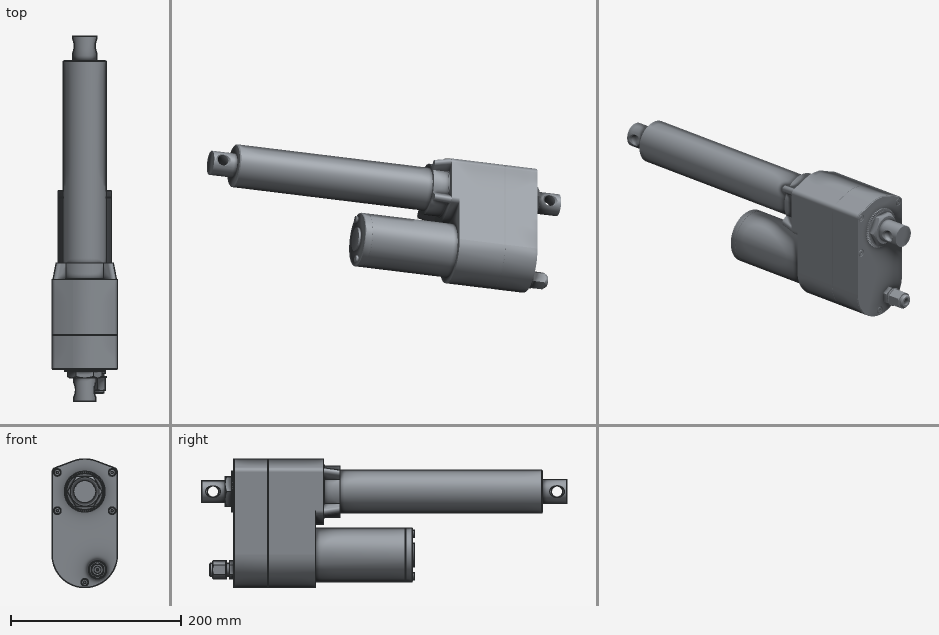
import cadquery as cq
import math


HOUSING_WIDTH = 77.16
HOUSING_HEIGHT = 151.66
END_RADIUS = HOUSING_WIDTH / 2
MOTOR_Z = 2 * END_RADIUS - HOUSING_HEIGHT
SHOULDER_ANGLE = 20.6
SHOULDER_RADIUS = 6.0
EDGE_MARGIN = 0.5
LOWER_DEPTH = 96.5
UPPER_DEPTH = 105.8
COVER_THICKNESS = 1.3
COVER_INSET = 0.4
JOINT_Y = 40.5
JOINT_WIDTH = 1.3
JOINT_DEPTH = 0.25

SCREW_X = 32.2
SCREW_Z = 22.5
SCREW_BOTTOM_OFFSET = 32.2
SCREW_RECESS_DIA = 9.0
SCREW_HEAD_DIA = 7.2
SCREW_SOCKET_DIA = 2.7
SCREW_RECESS_DEPTH = 1.0

TUBE_DIA = 50.8
TUBE_END_Y = 363.5
TUBE_CHAMFER = 1.3
ADAPTER_RADIUS = 30.2
ADAPTER_END_Y = 125.4
ADAPTER_RIM = 1.0
ADAPTER_RIM_THICKNESS = 1.2
LUG_ANGLE = 35.6
LUG_RADIUS = 4.0
LUG_BASE_REACH = 41.2
LUG_TIP_REACH = 36.5

MOTOR_DIA = 63.5
MOTOR_END_Y = 210.5
MOTOR_CHAMFER = 0.8
MOTOR_GROOVE_DIA = 63.0
MOTOR_GROOVE_Y = 202.2
MOTOR_GROOVE_WIDTH = 1.3
MOTOR_STUD_DIA = 8.5
MOTOR_STUD_OFFSET = 25.0
MOTOR_HUB_DIA = 28.0
MOTOR_STUD_HEIGHT = 2.6

WASHER_DIA = 48.2
WASHER_THICKNESS = 2.6
WASHER_TEETH = 60
WASHER_NOTCH_WIDTH = 1.0
WASHER_NOTCH_DEPTH = 3.0
NUT_FLATS = 35.4
NUT_FACE_DIA = 34.0
NUT_BEVEL_ANGLE = 30.0
NUT_END_Y = -10.3
REAR_CLEVIS_DIA = 26.0
REAR_CLEVIS_END_Y = -37.5
REAR_PIN_INSET = 13.4

PIN_HOLE_DIA = 13.0
PIN_MOUTH_GROWTH = 2.2

ROD_DIA = 28.6
ROD_END_Y = 392.0
ROD_PIN_INSET = 11.5

GLAND_X = 15.0
GLAND_Z = -92.0
GLAND_CORNERS = 21.6
GLAND_TURN = 90
GLAND_NECK_DIA = 15.75
GLAND_BASE_END_Y = -5.0
GLAND_NUT_START_Y = -8.2
GLAND_COLLAR = 1.2
GLAND_NUT_END_Y = -24.6
GLAND_CHAMFER = 1.2
GLAND_TIP_END_Y = -28.4
GLAND_TIP_DIA = 13.0
GLAND_BORE_DIA = 8.5
GLAND_BORE_DEPTH = 6.0
GLAND_CORE_DIA = 2.7
GLAND_CORE_DEPTH = 10.0


def section(y, x=0.0, z=0.0):
    """Sketch plane at depth y that extrudes toward +Y; its local y points along -Z."""
    return cq.Workplane("XZ", origin=(x, y, z)).transformed(rotate=(180, 0, 0))


def cylinder(diameter, y_start, y_end, x=0.0, z=0.0):
    return section(y_start, x, z).circle(diameter / 2).extrude(y_end - y_start)


def hexagon(corners, y_start, y_end, turn=0, x=0.0, z=0.0):
    prism = section(y_start, x, z).polygon(6, corners).extrude(y_end - y_start)
    return prism.rotate((x, 0, z), (x, 1, z), turn)


def shoulder_points():
    """Right half of the crown: end of the crown arc and the sharp shoulder corner."""
    angle = math.radians(SHOULDER_ANGLE)
    arc_end = (END_RADIUS * math.sin(angle), END_RADIUS * math.cos(angle))
    corner = (END_RADIUS, arc_end[1] - (END_RADIUS - arc_end[0]) * math.tan(angle))
    return arc_end, corner


def round_shoulders(prism, z_sign):
    """Round the two long shoulder edges on the side of the tube axis given by z_sign."""
    corner_z = shoulder_points()[1][1] * z_sign
    box = cq.selectors.BoxSelector(
        (-2 * END_RADIUS, -UPPER_DEPTH, corner_z - EDGE_MARGIN),
        (2 * END_RADIUS, 2 * UPPER_DEPTH, corner_z + EDGE_MARGIN),
    )
    return prism.edges("|Y").edges(box).fillet(SHOULDER_RADIUS)


def crown(y):
    """Open profile at depth y over the top of the housing, from the left shoulder to the right one."""
    (arc_x, arc_z), (corner_x, corner_z) = shoulder_points()
    return (
        cq.Workplane("XZ", origin=(0, y, 0))
        .moveTo(-corner_x, corner_z)
        .lineTo(-arc_x, arc_z)
        .threePointArc((0, END_RADIUS), (arc_x, arc_z))
        .lineTo(corner_x, corner_z)
    )


def make_lower_block(y_start, y_end):
    """Length of the main housing, which is crowned around the tube and round below the motor."""
    block = (
        crown(y_start)
        .lineTo(END_RADIUS, MOTOR_Z)
        .threePointArc((0, MOTOR_Z - END_RADIUS), (-END_RADIUS, MOTOR_Z))
        .close()
        .extrude(y_start - y_end)
    )
    return round_shoulders(block, 1)


def make_upper_block():
    """Front step around the tube, crowned alike at the top and bottom."""
    (arc_x, arc_z), (corner_x, corner_z) = shoulder_points()
    block = (
        crown(LOWER_DEPTH)
        .lineTo(corner_x, -corner_z)
        .lineTo(arc_x, -arc_z)
        .threePointArc((0, -END_RADIUS), (-arc_x, -arc_z))
        .lineTo(-corner_x, -corner_z)
        .close()
        .extrude(LOWER_DEPTH - UPPER_DEPTH)
    )
    return round_shoulders(round_shoulders(block, 1), -1)


def make_band(y_start, thickness, depth):
    """Shallow band around the housing, to remove from its sides."""
    band = make_lower_block(y_start, y_start + thickness)
    core_outline = band.faces("<Y").wires().val().offset2D(-depth)[0]
    core = cq.Solid.extrudeLinear(core_outline, [], cq.Vector(0, thickness, 0))
    return band.cut(cq.Workplane(core))


def make_gearbox():
    housing = make_lower_block(0, LOWER_DEPTH).union(make_upper_block())
    cover_step = make_band(0, COVER_THICKNESS, COVER_INSET)
    joint_groove = make_band(JOINT_Y - JOINT_WIDTH / 2, JOINT_WIDTH, JOINT_DEPTH)
    return housing.cut(cover_step).cut(joint_groove)


def cut_screws(body):
    """Socket-head screws sunk flush in the rear face."""
    places = [(sx * SCREW_X, sz * SCREW_Z) for sx in (-1, 1) for sz in (-1, 1)]
    places.append((0, MOTOR_Z - SCREW_BOTTOM_OFFSET))
    for x, z in places:
        recess = cylinder(SCREW_RECESS_DIA, 0, SCREW_RECESS_DEPTH, x, z)
        head = cylinder(SCREW_HEAD_DIA, 0, SCREW_RECESS_DEPTH, x, z)
        socket = cylinder(SCREW_SOCKET_DIA, 0, SCREW_RECESS_DEPTH, x, z)
        body = body.cut(recess.cut(head)).cut(socket)
    return body


def make_lug(angle):
    """Radial rib with a rounded end that leans toward the tube as it leaves the gearbox."""
    def slot(y, reach):
        return (
            cq.Workplane("XZ", origin=(0, y, 0))
            .moveTo(0, -LUG_RADIUS)
            .lineTo(reach, -LUG_RADIUS)
            .threePointArc((reach + LUG_RADIUS, 0), (reach, LUG_RADIUS))
            .lineTo(0, LUG_RADIUS)
            .close()
            .wires()
            .val()
        )

    lug = cq.Solid.makeLoft([slot(UPPER_DEPTH, LUG_BASE_REACH), slot(ADAPTER_END_Y, LUG_TIP_REACH)], True)
    return cq.Workplane(lug).rotate((0, 0, 0), (0, 1, 0), angle)


def make_tube():
    tube = cylinder(TUBE_DIA, UPPER_DEPTH, TUBE_END_Y).faces(">Y").edges().chamfer(TUBE_CHAMFER)
    tube = tube.union(cylinder(2 * ADAPTER_RADIUS, UPPER_DEPTH, ADAPTER_END_Y))
    rim_end = UPPER_DEPTH + ADAPTER_RIM_THICKNESS
    tube = tube.union(cylinder(2 * (ADAPTER_RADIUS + ADAPTER_RIM), UPPER_DEPTH, rim_end))
    for angle in (LUG_ANGLE, 180 - LUG_ANGLE, 180 + LUG_ANGLE, -LUG_ANGLE):
        tube = tube.union(make_lug(angle))
    return tube


def make_motor():
    motor = cylinder(MOTOR_DIA, LOWER_DEPTH, MOTOR_END_Y, z=MOTOR_Z)
    motor = motor.faces(">Y").edges().chamfer(MOTOR_CHAMFER)
    groove_start = MOTOR_GROOVE_Y - MOTOR_GROOVE_WIDTH / 2
    groove_end = MOTOR_GROOVE_Y + MOTOR_GROOVE_WIDTH / 2
    groove = cylinder(MOTOR_DIA, groove_start, groove_end, z=MOTOR_Z)
    groove = groove.cut(cylinder(MOTOR_GROOVE_DIA, groove_start, groove_end, z=MOTOR_Z))
    motor = motor.cut(groove)
    stud_end = MOTOR_END_Y + MOTOR_STUD_HEIGHT
    for side in (-1, 1):
        stud_z = MOTOR_Z + side * MOTOR_STUD_OFFSET
        motor = motor.union(cylinder(MOTOR_STUD_DIA, MOTOR_END_Y, stud_end, z=stud_z))
    return motor.union(cylinder(MOTOR_HUB_DIA, MOTOR_END_Y, stud_end, z=MOTOR_Z))


def make_pin_hole(shaft_dia, y):
    """Cross hole along X with a 45 degree mouth at each side of the shaft."""
    hole_radius = PIN_HOLE_DIA / 2
    surface = shaft_dia / 2
    mouth_start = surface - PIN_MOUTH_GROWTH
    profile = (
        cq.Workplane("XY")
        .moveTo(-surface, 0)
        .lineTo(-surface, hole_radius + PIN_MOUTH_GROWTH)
        .lineTo(-mouth_start, hole_radius)
        .lineTo(mouth_start, hole_radius)
        .lineTo(surface, hole_radius + PIN_MOUTH_GROWTH)
        .lineTo(surface, 0)
        .close()
    )
    return profile.revolve(360, (0, 0, 0), (1, 0, 0)).translate((0, y, 0))


def make_washer():
    """Lock washer with a ring of teeth around its rim."""
    notch_reach = WASHER_DIA / 2 - WASHER_NOTCH_DEPTH / 2
    notches = (
        section(-WASHER_THICKNESS)
        .polarArray(notch_reach, 0, 360, WASHER_TEETH)
        .rect(WASHER_NOTCH_DEPTH, WASHER_NOTCH_WIDTH)
        .extrude(WASHER_THICKNESS)
    )
    return cylinder(WASHER_DIA, -WASHER_THICKNESS, 0).cut(notches)


def make_nut():
    """Hexagon nut whose corners are bevelled around the outer face."""
    corners = NUT_FLATS / math.cos(math.radians(30))
    growth = (corners - NUT_FACE_DIA) / 2
    bevel_length = growth * math.tan(math.radians(NUT_BEVEL_ANGLE))
    bevel = cylinder(corners, NUT_END_Y, 0).faces("<Y").edges()
    bevel = bevel.chamfer(bevel_length, growth)
    return hexagon(corners, NUT_END_Y, 0).intersect(bevel)


def make_rear_mount():
    clevis = cylinder(REAR_CLEVIS_DIA, REAR_CLEVIS_END_Y, 0)
    clevis = clevis.cut(make_pin_hole(REAR_CLEVIS_DIA, REAR_CLEVIS_END_Y + REAR_PIN_INSET))
    return make_washer().union(make_nut()).union(clevis)


def make_gland():
    place = {"x": GLAND_X, "z": GLAND_Z}
    base = hexagon(GLAND_CORNERS, GLAND_BASE_END_Y, 0, GLAND_TURN, **place)
    neck = cylinder(GLAND_NECK_DIA, GLAND_TIP_END_Y, 0, **place)
    tip_edge = (GLAND_NECK_DIA - GLAND_TIP_DIA) / 2
    neck = neck.faces("<Y").edges().chamfer(tip_edge)
    collar = cylinder(GLAND_CORNERS, GLAND_NUT_START_Y - GLAND_COLLAR, GLAND_NUT_START_Y, **place)
    rounding = cylinder(GLAND_CORNERS, GLAND_NUT_END_Y, GLAND_NUT_START_Y, **place)
    rounding = rounding.faces("<Y").edges().chamfer(GLAND_CHAMFER)
    nut = hexagon(GLAND_CORNERS, GLAND_NUT_END_Y, GLAND_NUT_START_Y, GLAND_TURN, **place).intersect(rounding)
    bore = cylinder(GLAND_BORE_DIA, GLAND_TIP_END_Y, GLAND_TIP_END_Y + GLAND_BORE_DEPTH, **place)
    core = cylinder(GLAND_CORE_DIA, GLAND_TIP_END_Y, GLAND_TIP_END_Y + GLAND_CORE_DEPTH, **place)
    return base.union(neck).union(collar).union(nut).cut(bore).cut(core)


def make_actuator():
    body = cut_screws(make_gearbox())
    for piece in (make_tube(), make_motor(), make_rear_mount(), make_gland()):
        body = body.union(piece)
    return body


def make_rod():
    """Rod that stands on the tube end and carries the front pin hole."""
    rod = cylinder(ROD_DIA, TUBE_END_Y, ROD_END_Y)
    return rod.cut(make_pin_hole(ROD_DIA, ROD_END_Y - ROD_PIN_INSET))


actuator = make_actuator()
rod = make_rod()

result = cq.Compound.makeCompound([actuator.solids().val(), rod.solids().val()])